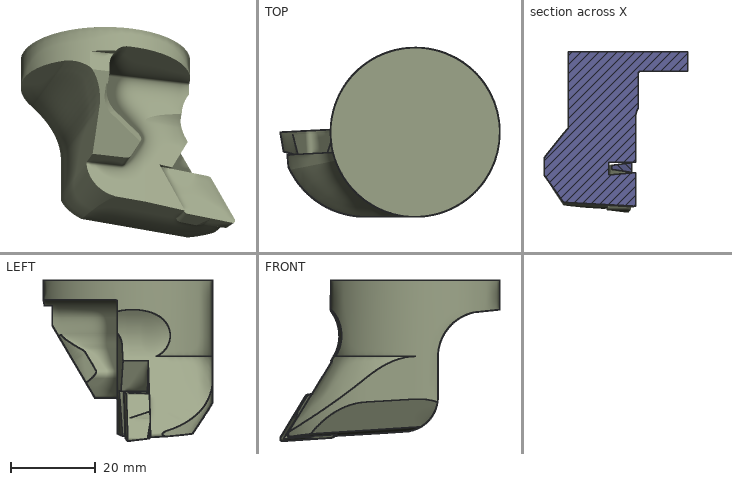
import cadquery as cq
import math

FAR = 77.8

total_length = 51.85
shank_diameter = 40.0
shank_radius = shank_diameter / 2
shank_bottom = -18.0
foot_flare = 31.7
foot_shift = 11.65

seat_yaw = 3.0
insert_angle = 55.0
edge_lead = 3.8
insert_edge = 13.05
insert_height = 5.45
clearance = 7.0
nose_radius = 0.6
blunt_radius = 1.15
nose_left = shank_radius - total_length
nose_bottom = -38.0
pad_start = 0.75
pad_length = 6.5
pad_runout = 1.8
nose_relief_length = 5.45
nose_relief_rise = 1.05

gullet_y = 2.5
gullet_roof = -4.65
gullet_corner = 0.45
web_left = 4.15
web_fillet = 4.0
web_straight_end = -12.65
beak_slope = 58.0
beak_top_end = -21.05
beak_radius = 1.55
relief_slope = 29.0
beak_low_end = -27.25
beak_bottom = -27.85
back_y = 17.9
flange_back = -6.05
back_slope_top = -10.7
back_slope = 59.5
bevel_width = 3.55
bevel_shift = 2.1
bevel_x = 4.55
bevel_top = -13.25
bevel_bend = -15.3
bevel_bend_end = -19.0
bevel_bend_end_x = 2.65
bevel_bend_middle = (4.05, -17.25)
bevel_foot = (-12.45, -28.55)

flange_edge = (20.25, -6.95)
flange_root = (13.85, -7.6)
neck_middle = (8.85, -10.2)
neck_end = (5.4, -17.65)
heel_top = (5.4, -28.0)
heel_middle = (3.85, -32.35)
heel_end = (-1.55, -35.7)

sole_point = (0.0, 2.5, -35.65)
sole_rise = 3.7
sole_tilt = 3.1
chin_point = (0.0, -shank_radius, -28.05)
chin_rise = 3.4
chin_tilt = 54.7

flute_top = (-20.05, -6.85)
flute_middle = (-17.85, -13.5)
flute_end = (-19.45, -18.45)
land_slope = 58.4
tip_edge_middle = (-30.35, -6.75, -37.0)
tip_round = 0.6
scoop_yaw = 7.0
scoop_point = (-19.2, 1.25, 0.0)
pocket_headroom = 1.55
scoop_end = -15.55
scoop_radius = 4.65
relief_wall_top = -19.05


def sin(degrees):
    return math.sin(math.radians(degrees))


def cos(degrees):
    return math.cos(math.radians(degrees))


def tan(degrees):
    return math.tan(math.radians(degrees))


half_angle = insert_angle / 2
half_length = insert_edge * cos(half_angle)
half_width = insert_edge * sin(half_angle)
insert_lean = edge_lead + half_angle
edge_slope = edge_lead + insert_angle
nose_offset = nose_radius / sin(half_angle)
tip_x = nose_left - (nose_offset * cos(insert_lean) - nose_radius) * cos(seat_yaw)
tip_z = nose_bottom - (nose_offset * sin(insert_lean) - nose_radius)


def half_space(point, outward):
    """Everything beyond a plane."""
    return cq.Workplane(cq.Plane(point, normal=outward)).rect(2 * FAR, 2 * FAR).extrude(FAR)


def turned_profile():
    """Vertical workplane through Z along the cutting edge; its normal points away from the rake side."""
    along = (cos(seat_yaw), sin(seat_yaw), 0)
    away = (sin(seat_yaw), -cos(seat_yaw), 0)
    return cq.Workplane(cq.Plane((0, 0, 0), xDir=along, normal=away))


def rhombus(scale=1.0):
    """Insert corners around the centre, acute corners on X."""
    x = half_length * scale
    y = half_width * scale
    return [(-x, 0), (0, y), (x, 0), (0, -y)]


def pad_end():
    """Everything past the runout of a pad; the edge lies along X with its blunt corner at the origin."""
    bulge = (insert_height - pad_start) * tan(clearance)
    runout = cq.Vector(pad_runout, bulge, 0)
    down_flank = cq.Vector(0, -tan(clearance), -1)
    return half_space((-pad_length, 0, 0), runout.cross(down_flank).toTuple())


def make_pads():
    """Straight-sided core that stands proud of the inclined flanks near the blunt corners."""
    inset = pad_start * tan(clearance)
    inset_scale = 1 - inset / (half_length * sin(half_angle))
    core = (
        cq.Workplane(origin=(half_length, 0, -pad_start))
        .polyline(rhombus(inset_scale)).close()
        .extrude(pad_start - insert_height)
        .edges(">Y or <Y").fillet(blunt_radius)
    )
    end = pad_end().rotate((0, 0, 0), (0, 0, 1), half_angle).translate((half_length, half_width, 0))
    for turn in (0, 180):
        for cutter in (end, end.mirror("XZ")):
            core = core.cut(cutter.rotate((half_length, 0, 0), (half_length, 0, 1), turn))
    return core


def make_insert():
    """Rhombic insert with its sharp tip at the origin and top face at z = 0, moved onto its seat."""
    outline = (
        cq.Sketch()
        .polygon([*rhombus(), rhombus()[0]])
        .vertices("<X or >X").fillet(nose_radius).reset()
        .vertices("<Y or >Y").fillet(blunt_radius).reset()
    )
    body = cq.Workplane(origin=(half_length, 0, 0)).placeSketch(outline)
    body = body.extrude(-insert_height, taper=clearance)
    body = body.union(make_pads())
    relief = (
        cq.Workplane("XZ", origin=(0, FAR, 0))
        .moveTo(-FAR, -insert_height - FAR)
        .lineTo(nose_relief_length, -insert_height - FAR)
        .lineTo(nose_relief_length, -insert_height)
        .lineTo(0, -insert_height + nose_relief_rise)
        .lineTo(-FAR, -insert_height + nose_relief_rise)
        .close().extrude(2 * FAR)
    )
    for turn in (0, 180):
        body = body.cut(relief.rotate((half_length, 0, 0), (half_length, 0, 1), turn))
    seat = cq.Plane(
        (tip_x, 0, tip_z),
        xDir=(cos(seat_yaw) * cos(insert_lean), sin(seat_yaw) * cos(insert_lean), sin(insert_lean)),
        normal=(-sin(seat_yaw), cos(seat_yaw), 0),
    )
    return cq.Workplane(body.val().moved(cq.Location(seat)))


tip_u = tip_x * cos(seat_yaw)
rake_depth = tip_x * sin(seat_yaw)


def make_blank():
    """Round shank with a cone-flared foot that is kept inside a sideways-stretched shank outline."""
    shank = cq.Workplane().circle(shank_radius).extrude(shank_bottom)
    flare_height = FAR / 2
    flare = cq.Workplane(
        cq.Solid.makeCone(
            shank_radius,
            shank_radius + flare_height * tan(foot_flare),
            flare_height,
            cq.Vector(0, 0, shank_bottom),
            cq.Vector(0, 0, -1),
        )
    )
    stretched = (
        cq.Workplane()
        .center(-foot_shift / 2, 0)
        .slot2D(2 * shank_radius + foot_shift, 2 * shank_radius)
        .extrude(-FAR)
    )
    return shank.union(flare.intersect(stretched))


def sloped_underside(point, rise, tilt):
    """Everything below a plane that climbs along X by one angle and toward -Y by another."""
    return half_space(point, (tan(rise), -tan(tilt), -1))


def heel_cut():
    """Air beside the neck and heel, under the flange."""
    return (
        cq.Workplane("XZ", origin=(0, FAR, 0))
        .moveTo(*flange_edge)
        .lineTo(*flange_root)
        .threePointArc(neck_middle, neck_end)
        .lineTo(*heel_top)
        .threePointArc(heel_middle, heel_end)
        .lineTo(heel_end[0], -FAR)
        .lineTo(FAR, -FAR)
        .lineTo(FAR, flange_edge[1])
        .close().extrude(2 * FAR)
    )


def gullet_cut():
    """Air in front of the web: round under the flange, then out along the beak and back under it."""
    beak_start = web_straight_end - web_fillet * sin(beak_slope)
    beak_start_x = web_left - web_fillet * (1 - cos(beak_slope))
    beak_top_x = beak_start_x - (beak_start - beak_top_end) * tan(beak_slope)
    centre_x = beak_top_x + beak_radius * cos(beak_slope)
    centre_z = beak_top_end - beak_radius * sin(beak_slope)
    under_x = centre_x - beak_radius * cos(relief_slope)
    under_z = centre_z - beak_radius * sin(relief_slope)
    low_x = under_x + (under_z - beak_low_end) * tan(relief_slope)
    low_radius = (beak_low_end - beak_bottom) / (1 - sin(relief_slope))
    low_centre_x = low_x + low_radius * cos(relief_slope)
    low_mid = (90 + relief_slope) / 2
    half_bend = beak_slope / 2
    roof_end = web_left - web_fillet
    cutter = (
        cq.Workplane("XZ", origin=(0, gullet_y, 0))
        .moveTo(-FAR, gullet_roof)
        .lineTo(roof_end, gullet_roof)
        .radiusArc((web_left, gullet_roof - web_fillet), web_fillet)
        .lineTo(web_left, web_straight_end)
        .threePointArc(
            (web_left - web_fillet * (1 - cos(half_bend)), web_straight_end - web_fillet * sin(half_bend)),
            (beak_start_x, beak_start),
        )
        .lineTo(beak_top_x, beak_top_end)
        .threePointArc((centre_x - beak_radius, centre_z), (under_x, under_z))
        .lineTo(low_x, beak_low_end)
        .threePointArc(
            (low_centre_x - low_radius * cos(low_mid), beak_bottom + low_radius * (1 - sin(low_mid))),
            (low_centre_x, beak_bottom),
        )
        .lineTo(FAR, beak_bottom)
        .lineTo(FAR, -FAR)
        .lineTo(-FAR, -FAR)
        .close().extrude(-FAR)
    )
    return cutter.faces("<Y").edges().fillet(gullet_corner)


def back_cuts():
    """Flat back under the flange, and the slope below it."""
    flat = half_space((0, back_y, 0), (0, 1, 0)).intersect(half_space((0, 0, flange_back), (0, 0, -1)))
    slope = half_space((0, back_y, back_slope_top), (0, sin(back_slope), -cos(back_slope)))
    return flat, slope


def back_bevel_cut():
    """Bevel along the beak's back edge: an outline on the sloped back, swept inward and sideways."""
    inward = cq.Vector(0, -sin(back_slope), cos(back_slope))
    plane = cq.Plane((0, back_y, back_slope_top), xDir=(1, 0, 0), normal=(-inward).toTuple())

    def on_slope(x, height):
        return x, (back_slope_top - height) / sin(back_slope)

    outline = (
        cq.Workplane(plane)
        .moveTo(*on_slope(-FAR, bevel_top))
        .lineTo(*on_slope(bevel_x, bevel_top))
        .lineTo(*on_slope(bevel_x, bevel_bend))
        .threePointArc(on_slope(*bevel_bend_middle), on_slope(bevel_bend_end_x, bevel_bend_end))
        .lineTo(*on_slope(*bevel_foot))
        .lineTo(*on_slope(-FAR, bevel_foot[1]))
        .close()
    )
    sweep = inward * bevel_width - cq.Vector(bevel_shift, 0, 0)
    return cq.Workplane(cq.Solid.extrudeLinear(outline.val(), [], sweep))


def flute_cut():
    """Round flute under the shank that runs on into the sloped land behind the cutting edge."""
    land_end = (flute_end[0] - FAR / tan(land_slope), flute_end[1] - FAR)
    return (
        turned_profile().workplane(offset=-FAR)
        .moveTo(*flute_top)
        .threePointArc(flute_middle, flute_end)
        .lineTo(*land_end)
        .lineTo(-2 * FAR, land_end[1])
        .lineTo(-2 * FAR, flute_top[1])
        .close().extrude(2 * FAR)
    )


def scoop_cut():
    """Turned face around the insert, running out in a round up to the flat gullet face."""
    plane = cq.Plane(
        scoop_point, xDir=(-sin(scoop_yaw), cos(scoop_yaw), 0), normal=(cos(scoop_yaw), sin(scoop_yaw), 0)
    )
    cutter = (
        cq.Workplane(plane)
        .moveTo(0, -FAR)
        .lineTo(0, scoop_end)
        .radiusArc((scoop_radius, scoop_end + scoop_radius), scoop_radius)
        .lineTo(scoop_radius, -FAR)
        .close().extrude(FAR, both=True)
    )
    return cutter.cut(half_space((0, gullet_y, 0), (0, 1, 0)))


def pocket_cut():
    """Seat of the insert, open toward the cutting edges, with a relief wall over its upper edge."""
    land_u = flute_end[0] - (flute_end[1] - relief_wall_top) / tan(land_slope)
    upper_u = tip_u + insert_edge * cos(edge_slope)
    upper_z = tip_z + insert_edge * sin(edge_slope)
    gap = relief_wall_top - upper_z - (land_u - upper_u) * tan(edge_lead)
    fall = gap / (1 + tan(relief_slope) * tan(edge_lead))
    wall_foot = (land_u + fall * tan(relief_slope), relief_wall_top - fall)
    low = (tip_u + insert_edge * cos(edge_lead), tip_z + insert_edge * sin(edge_lead))
    far = (upper_u + insert_edge * cos(edge_lead), upper_z + insert_edge * sin(edge_lead))
    return (
        turned_profile().workplane(offset=rake_depth + insert_height)
        .moveTo(land_u, relief_wall_top)
        .lineTo(*wall_foot)
        .lineTo(*far)
        .lineTo(*low)
        .lineTo(low[0], -FAR)
        .lineTo(-FAR, -FAR)
        .lineTo(-FAR, relief_wall_top)
        .close().extrude(-insert_height - pocket_headroom)
    )


def make_holder():
    """Blank with every cut made, then the lower edge of the land rounded at the tip."""
    holder = make_blank().cut(heel_cut())
    holder = holder.cut(sloped_underside(sole_point, sole_rise, sole_tilt))
    holder = holder.cut(sloped_underside(chin_point, chin_rise, chin_tilt))
    holder = holder.cut(flute_cut())
    holder = holder.cut(gullet_cut())
    for cutter in back_cuts():
        holder = holder.cut(cutter)
    tip = cq.selectors.NearestToPointSelector(tip_edge_middle)
    holder = holder.cut(back_bevel_cut()).cut(scoop_cut()).cut(pocket_cut())
    return holder.edges(tip).fillet(tip_round)


insert = make_insert()
holder = make_holder()
result = cq.Compound.makeCompound([holder.val(), insert.val()])